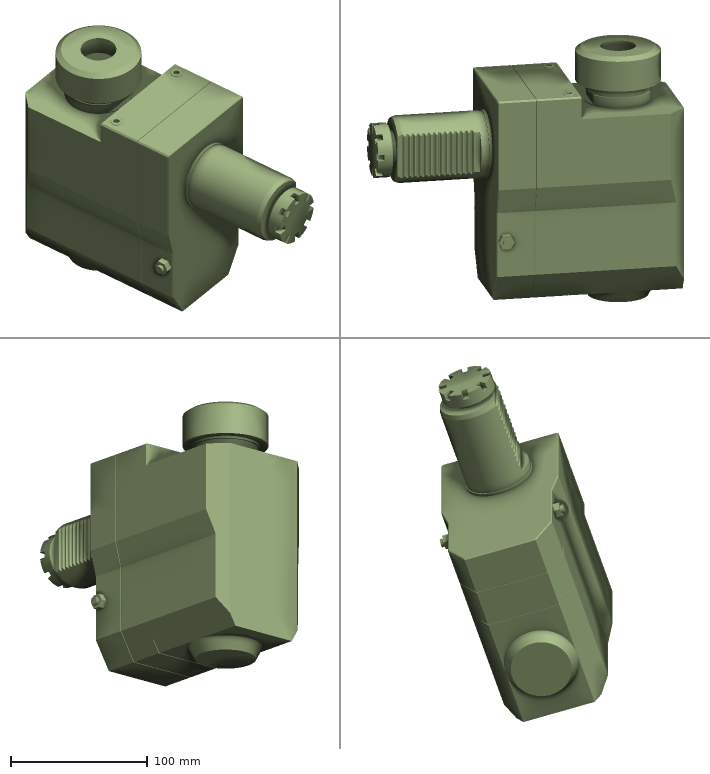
import cadquery as cq
import math


BODY_LENGTH = 142.0
BODY_TOP = 157.0
UPPER_HALF_WIDTH = 45.0
LOWER_HALF_WIDTH = 40.0
BOTTOM_HALF_WIDTH = 27.5
BOTTOM_BEVEL_TOP = 21.3
WAIST_HEIGHT = 19.0
WAIST_BOTTOM_MINUS_Y = 62.7
WAIST_BOTTOM_PLUS_Y = 70.2
STEP_X = 79.5
STEP_Z = 140.0
FRONT_CORNER_CHAMFER = 12.5
TOP_EDGE_CHAMFER = 1.1
BACK_EDGE_CHAMFER = 0.7

SEAM_WIDTH = 0.7
SEAM_DEPTH = 0.5
PLATE_SEAM_X = 113.2
MARK_X = 85.2
MARK_TOP = 9.3

SPINDLE_X = 42.5
CONE_BOTTOM = -9.3
CONE_TOP_RADIUS = 27.5
CONE_BOTTOM_RADIUS = 22.5
RIM_RADIUS = 25.1
RIM_HEIGHT = 0.7
COLLAR_RADIUS = 24.0
COLLAR_BOTTOM = 148.1
LIP_BOTTOM = 153.1
KNOB_BOTTOM = 155.0
KNOB_TOP = 180.5
KNOB_RADIUS = 31.5
KNOB_TOP_RADIUS = 27.5
KNOB_CHAMFER_HEIGHT = 2.7
KNOB_BORE_RADIUS = 13.1
KNOB_BORE_DEPTH = 13.8
FLAT_DISTANCE = 21.0

SHANK_Z = 111.7
SHANK_RADIUS = 25.0
SHANK_END = 211.5
SHANK_END_CHAMFER_LENGTH = 3.5
SHANK_END_CHAMFER_DEPTH = 1.1
FLANGE_RADIUS = 25.5
FLANGE_END = 144.3
GROOVE_RADIUS = 24.7
GROOVE_END = 146.5
NECK_RADIUS = 14.0
NECK_END_RADIUS = 14.7
NECK_TAPER_START = 213.5

RACK_START = 150.2
RACK_Y = 19.7
TOOTH_DEPTH = 1.4
TOOTH_GAP_TOP = 3.2
TOOTH_GAP_BOTTOM = 1.0
FIRST_GAP_X = 156.3
GAP_COUNT = 13
TOOTHED_LENGTH = 52.0
TOOTH_PITCH = TOOTHED_LENGTH / GAP_COUNT

NUT_START = 215.2
NUT_END = 226.5
NUT_RADIUS = 20.2
NUT_CHAMFER = 0.7
SLOT_COUNT = 8
SLOT_WIDTH = 4.8
SLOT_LENGTH = 4.8
SLOT_DEPTH = 6.3

FITTING_X = 135.2
FITTING_Z = 48.7
FITTING_SPAN = 95.0
FITTING_TIP_Y = FITTING_SPAN / 2
HEX_ACROSS_FLATS = 10.2
HEX_END_Y = 44.8
TIP_RADIUS = 3.2
TIP_NECK_RADIUS = 2.7
TIP_HEAD_LENGTH = 1.5

SCREW_X = 87.0
SCREW_Y = 36.0
SCREW_RADIUS = 4.3
SCREW_HEIGHT = 0.7
SCREW_CHAMFER = 0.5
SOCKET_ACROSS_FLATS = 4.5
SOCKET_DEPTH = 2.3

EMBED = 2.3
MARGIN = 11.3


def housing_side(waist_bottom):
    """Half outline of the housing from bottom to top, as (distance from Y = 0, Z)."""
    return [
        (BOTTOM_HALF_WIDTH, 0),
        (LOWER_HALF_WIDTH, BOTTOM_BEVEL_TOP),
        (LOWER_HALF_WIDTH, waist_bottom),
        (UPPER_HALF_WIDTH, waist_bottom + WAIST_HEIGHT),
        (UPPER_HALF_WIDTH, BODY_TOP - TOP_EDGE_CHAMFER),
        (UPPER_HALF_WIDTH - TOP_EDGE_CHAMFER, BODY_TOP),
    ]


def housing_section(x, inset=0.0):
    """Housing cross-section at the given X, optionally shrunk all around."""
    plus_side = housing_side(WAIST_BOTTOM_PLUS_Y)
    minus_side = [(-y, z) for y, z in reversed(housing_side(WAIST_BOTTOM_MINUS_Y))]
    section = cq.Workplane("YZ", origin=(x, 0, 0)).polyline(plus_side + minus_side).close()
    return section.offset2D(-inset) if inset else section


def seam(x):
    """Thin ring that cuts a shallow groove around the housing at X."""
    start = x - SEAM_WIDTH / 2
    outer = housing_section(start).extrude(SEAM_WIDTH)
    return outer.cut(housing_section(start, SEAM_DEPTH).extrude(SEAM_WIDTH))


def make_housing():
    body = housing_section(0).extrude(BODY_LENGTH).faces(">X").chamfer(BACK_EDGE_CHAMFER)
    step = cq.Workplane("XY", origin=(0, 0, STEP_Z)).rect(2 * STEP_X, 2 * UPPER_HALF_WIDTH)
    body = body.cut(step.extrude(BODY_TOP))
    for side in (1, -1):
        corner = [
            (0, side * (UPPER_HALF_WIDTH - FRONT_CORNER_CHAMFER)),
            (FRONT_CORNER_CHAMFER, side * UPPER_HALF_WIDTH),
            (0, side * UPPER_HALF_WIDTH),
        ]
        body = body.cut(cq.Workplane("XY").polyline(corner).close().extrude(BODY_TOP))
    lower_zone = cq.Workplane("XY").box(
        2 * BODY_LENGTH, 2 * UPPER_HALF_WIDTH, MARK_TOP, centered=(True, True, False)
    )
    return body.cut(seam(PLATE_SEAM_X)).cut(seam(MARK_X).intersect(lower_zone))


def make_spindle():
    cone = (
        cq.Workplane("XZ", origin=(SPINDLE_X, 0, 0))
        .polyline([
            (0, CONE_BOTTOM),
            (CONE_BOTTOM_RADIUS, CONE_BOTTOM),
            (CONE_TOP_RADIUS, 0),
            (CONE_TOP_RADIUS, EMBED),
            (0, EMBED),
        ])
        .close()
        .revolve(360, (0, 0), (0, 1))
    )
    upper = (
        cq.Workplane("XZ", origin=(SPINDLE_X, 0, 0))
        .polyline([
            (0, STEP_Z - EMBED),
            (RIM_RADIUS, STEP_Z - EMBED),
            (RIM_RADIUS, COLLAR_BOTTOM),
            (COLLAR_RADIUS, COLLAR_BOTTOM),
            (COLLAR_RADIUS, LIP_BOTTOM),
            (RIM_RADIUS, LIP_BOTTOM),
            (RIM_RADIUS, KNOB_BOTTOM),
            (KNOB_RADIUS, KNOB_BOTTOM),
            (KNOB_RADIUS, KNOB_TOP - KNOB_CHAMFER_HEIGHT),
            (KNOB_TOP_RADIUS, KNOB_TOP),
            (0, KNOB_TOP),
        ])
        .close()
        .revolve(360, (0, 0), (0, 1))
    )
    bore = cq.Workplane("XY", origin=(SPINDLE_X, 0, KNOB_TOP)).circle(KNOB_BORE_RADIUS)
    upper = upper.cut(bore.extrude(-KNOB_BORE_DEPTH))
    flat_bottom = STEP_Z + RIM_HEIGHT
    for side in (1, -1):
        cutter = cq.Workplane("XY").box(
            MARGIN, 2 * RIM_RADIUS, COLLAR_BOTTOM - flat_bottom, centered=(True, True, False)
        )
        flat_x = SPINDLE_X + side * (FLAT_DISTANCE + MARGIN / 2)
        upper = upper.cut(cutter.translate((flat_x, 0, flat_bottom)))
    return cone.union(upper)


def make_rack_cutter():
    """Tool that cuts the flat and its trapezoidal tooth gaps."""
    valley_y = RACK_Y - TOOTH_DEPTH
    outline = [(RACK_START, SHANK_RADIUS + MARGIN), (RACK_START, RACK_Y)]
    for i in range(GAP_COUNT):
        x = FIRST_GAP_X + i * TOOTH_PITCH
        outline += [
            (x - TOOTH_GAP_TOP / 2, RACK_Y),
            (x - TOOTH_GAP_BOTTOM / 2, valley_y),
            (x + TOOTH_GAP_BOTTOM / 2, valley_y),
            (x + TOOTH_GAP_TOP / 2, RACK_Y),
        ]
    run_out = FIRST_GAP_X + GAP_COUNT * TOOTH_PITCH
    outline += [
        (run_out - TOOTH_GAP_TOP / 2, RACK_Y),
        (run_out - TOOTH_GAP_BOTTOM / 2, valley_y),
        (SHANK_END, valley_y),
        (SHANK_END, SHANK_RADIUS + MARGIN),
    ]
    rack = cq.Workplane("XY", origin=(0, 0, SHANK_Z)).polyline(outline).close()
    return rack.extrude(SHANK_RADIUS, both=True)


def make_shank():
    shank = (
        cq.Workplane("XY", origin=(0, 0, SHANK_Z))
        .polyline([
            (BODY_LENGTH - EMBED, 0),
            (BODY_LENGTH - EMBED, FLANGE_RADIUS),
            (FLANGE_END, FLANGE_RADIUS),
            (FLANGE_END, GROOVE_RADIUS),
            (GROOVE_END, GROOVE_RADIUS),
            (GROOVE_END, SHANK_RADIUS),
            (SHANK_END - SHANK_END_CHAMFER_LENGTH, SHANK_RADIUS),
            (SHANK_END, SHANK_RADIUS - SHANK_END_CHAMFER_DEPTH),
            (SHANK_END, NECK_RADIUS),
            (NECK_TAPER_START, NECK_RADIUS),
            (NUT_START, NECK_END_RADIUS),
            (NUT_START, 0),
        ])
        .close()
        .revolve(360, (0, 0), (1, 0))
    )
    return shank.cut(make_rack_cutter())


def make_nut():
    nut = (
        cq.Workplane("YZ", origin=(NUT_START, 0, SHANK_Z))
        .circle(NUT_RADIUS)
        .extrude(NUT_END - NUT_START)
        .faces("<X")
        .chamfer(NUT_CHAMFER)
    )
    slots = (
        cq.Workplane("YZ", origin=(NUT_END, 0, SHANK_Z))
        .polarArray(NUT_RADIUS - SLOT_DEPTH + MARGIN / 2, 0, 360, SLOT_COUNT)
        .rect(MARGIN, SLOT_WIDTH)
        .extrude(-SLOT_LENGTH)
    )
    return nut.cut(slots)


def make_fitting():
    """Hexagonal fitting with a headed round tip, pointing toward -Y."""
    hex_start = LOWER_HALF_WIDTH - EMBED
    head_start = FITTING_TIP_Y - TIP_HEAD_LENGTH
    plane = cq.Workplane("XZ", origin=(FITTING_X, 0, FITTING_Z))
    across_corners = HEX_ACROSS_FLATS / math.cos(math.pi / 6)
    hexagon = plane.workplane(offset=hex_start).polygon(6, across_corners).extrude(HEX_END_Y - hex_start)
    neck = plane.workplane(offset=hex_start).circle(TIP_NECK_RADIUS).extrude(FITTING_TIP_Y - hex_start)
    head = plane.workplane(offset=head_start).circle(TIP_RADIUS).extrude(TIP_HEAD_LENGTH)
    return hexagon.union(neck).union(head)


def make_screw_heads():
    top = cq.Workplane("XY", origin=(SCREW_X, 0, BODY_TOP + SCREW_HEIGHT))
    spots = [(0, SCREW_Y), (0, -SCREW_Y)]
    heads = top.pushPoints(spots).circle(SCREW_RADIUS).extrude(-SCREW_HEIGHT - EMBED)
    heads = heads.faces(">Z").edges().chamfer(SCREW_CHAMFER)
    across_corners = SOCKET_ACROSS_FLATS / math.cos(math.pi / 6)
    sockets = top.pushPoints(spots).polygon(6, across_corners).extrude(-SOCKET_DEPTH)
    return heads, sockets


screw_heads, screw_sockets = make_screw_heads()
fitting = make_fitting()

result = (
    make_housing()
    .union(make_spindle())
    .union(make_shank())
    .union(make_nut())
    .union(fitting)
    .union(fitting.mirror("XZ"))
    .union(screw_heads)
    .cut(screw_sockets)
)